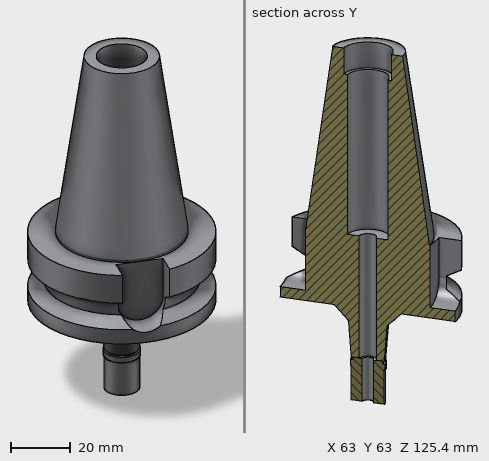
import cadquery as cq

shank_radius = 6.0
collar_radius = 6.3
collar_bottom = 12.4
collar_top = 14.5
neck_radius = 5.4
coolant_radius = 2.0

nose_bottom = 15.3
nose_tip_radius = 6.0
nose_shoulder = 28.2
nose_shoulder_radius = 7.0
nose_base_radius = 12.0

flange_bottom = 33.1
flange_top = 59.1
flange_radius = 31.5
groove_radius = 26.3
groove_lower_edge = 38.5
groove_floor_bottom = 41.4
groove_floor_top = 45.6
groove_upper_edge = 48.5

taper_bottom = 59.8
taper_top = 125.4
taper_large_radius = 22.2
taper_slope = 7 / 24 / 2
taper_small_radius = taper_large_radius - taper_slope * (taper_top - taper_bottom)

counterbore_radius = 8.5
counterbore_depth = 9.3
bore_radius = 7.1
bore_floor = flange_top
nose_hole_radius = 3.0

slot_half_width = 8.2
slot_bottom = 37.0
slot_floor_distance = 22.5


def revolve_profile(points):
    """Revolve (radius, height) points about the Z axis."""
    return cq.Workplane("XZ").polyline(points).close().revolve(360, (0, 0, 0), (0, 1, 0))


def vertical_hole(radius, bottom, top):
    return cq.Workplane("XY").workplane(offset=bottom).circle(radius).extrude(top - bottom)


def make_drive_slot(side):
    """Round-ended slot, open at the flange top; side is -1 or +1 along X."""
    arc_center = slot_bottom + slot_half_width
    return (
        cq.Workplane("YZ", origin=(side * slot_floor_distance, 0, 0))
        .moveTo(-slot_half_width, flange_top)
        .lineTo(-slot_half_width, arc_center)
        .threePointArc((0, slot_bottom), (slot_half_width, arc_center))
        .lineTo(slot_half_width, flange_top)
        .close()
        .extrude(side * flange_radius)
    )


def make_holder():
    body = revolve_profile([
        (0, nose_bottom),
        (nose_tip_radius, nose_bottom),
        (nose_shoulder_radius, nose_shoulder),
        (nose_base_radius, flange_bottom),
        (flange_radius, flange_bottom),
        (flange_radius, groove_lower_edge),
        (groove_radius, groove_floor_bottom),
        (groove_radius, groove_floor_top),
        (flange_radius, groove_upper_edge),
        (flange_radius, flange_top),
        (taper_large_radius, flange_top),
        (taper_large_radius, taper_bottom),
        (taper_small_radius, taper_top),
        (0, taper_top),
    ])
    for side in (-1, 1):
        body = body.cut(make_drive_slot(side))
    body = body.cut(vertical_hole(counterbore_radius, taper_top - counterbore_depth, taper_top))
    body = body.cut(vertical_hole(bore_radius, bore_floor, taper_top))
    return body.cut(vertical_hole(nose_hole_radius, nose_bottom, taper_top))


def make_shank():
    """Hollow shank with a collar and a short neck that meets the holder nose."""
    return revolve_profile([
        (coolant_radius, 0),
        (shank_radius, 0),
        (shank_radius, collar_bottom),
        (collar_radius, collar_bottom),
        (collar_radius, collar_top),
        (neck_radius, collar_top),
        (neck_radius, nose_bottom),
        (coolant_radius, nose_bottom),
    ])


holder = make_holder()
shank = make_shank()
result = cq.Compound.makeCompound([holder.val(), shank.val()])